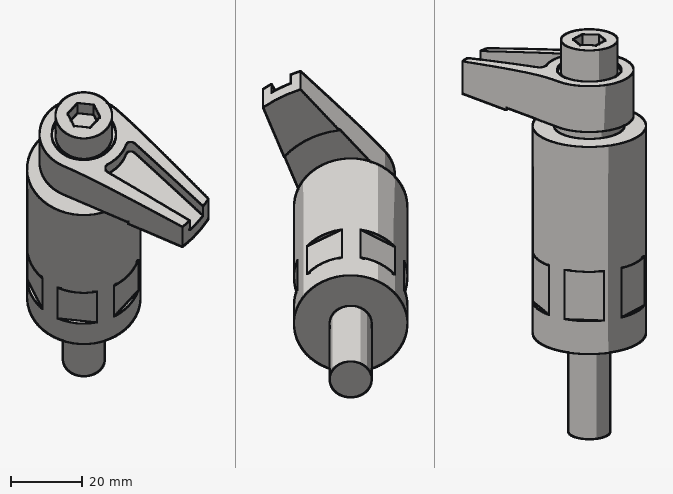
import cadquery as cq
import math

TOTAL_HEIGHT = 119.0
HOUSING_BOTTOM = 30.0
HOUSING_TOP = 92.9
HUB_BOTTOM = 96.0
HUB_TOP = 110.0

HOUSING_DIAMETER = 32.0
HOUSING_RADIUS = HOUSING_DIAMETER / 2
FLAT_COUNT = 6
FLAT_DISTANCE = 15.0
FLAT_BOTTOM = 40.0
FLAT_HEIGHT = 15.0

ROD_RADIUS = 6.0
HEAD_RADIUS = 8.0
HEAD_HEIGHT = 10.0
HEX_SIDES = 6
HEX_ACROSS_FLATS = 8.0
HEX_DEPTH = 5.0
HEAD_BOTTOM = TOTAL_HEIGHT - HEAD_HEIGHT

HUB_RADIUS = 12.5
COLLAR_RADIUS = 10.0
RECESS_RADIUS = 9.0
OVERALL_LENGTH = 55.9
ARM_LENGTH = OVERALL_LENGTH - HOUSING_RADIUS
TIP_HALF_WIDTH = 6.1
TAPER_ANGLE = math.radians(9.3)
TIP_TOP = 105.2
TIP_BOTTOM = 95.3
TIP_PAD_START = 24.0
SLOT_DEPTH = 4.6
SLOT_START_HALF_WIDTH = 6.5
SLOT_END_HALF_WIDTH = 3.1
SLOT_CORNER_RADIUS = 1.4


def cylinder(radius, bottom, top):
    return cq.Workplane("XY").workplane(offset=bottom).circle(radius).extrude(top - bottom)


def make_housing():
    """Round housing with a through bore and recessed wrench flats."""
    housing = cylinder(HOUSING_RADIUS, HOUSING_BOTTOM, HOUSING_TOP)
    flat_cutter = cq.Workplane("XY").box(
        HOUSING_RADIUS, 2 * HOUSING_RADIUS, FLAT_HEIGHT, centered=(False, True, False)
    ).translate((FLAT_DISTANCE, 0, FLAT_BOTTOM))
    for index in range(FLAT_COUNT):
        angle = index * 360 / FLAT_COUNT
        housing = housing.cut(flat_cutter.rotate((0, 0, 0), (0, 0, 1), angle))
    return housing.cut(cylinder(ROD_RADIUS, HOUSING_BOTTOM, HOUSING_TOP))


def make_screw():
    """Long rod with a hexagon socket head."""
    rod = cylinder(ROD_RADIUS, 0, HEAD_BOTTOM)
    head = cylinder(HEAD_RADIUS, HEAD_BOTTOM, TOTAL_HEIGHT)
    socket = (
        cq.Workplane("XY").workplane(offset=TOTAL_HEIGHT - HEX_DEPTH)
        .polygon(HEX_SIDES, HEX_ACROSS_FLATS, circumscribed=True).extrude(HEX_DEPTH)
    )
    return rod.union(head).cut(socket)


def make_arm():
    """Tapered arm, tangent to the hub, with a conical top and a lower pad at its tip."""
    tangent_x = HUB_RADIUS * math.sin(TAPER_ANGLE)
    tangent_y = HUB_RADIUS * math.cos(TAPER_ANGLE)
    tip_x = math.sqrt(ARM_LENGTH**2 - TIP_HALF_WIDTH**2)
    plan = (
        cq.Workplane("XY").workplane(offset=TIP_BOTTOM)
        .moveTo(0, -tangent_y)
        .lineTo(tangent_x, -tangent_y)
        .lineTo(tip_x, -TIP_HALF_WIDTH)
        .threePointArc((ARM_LENGTH, 0), (tip_x, TIP_HALF_WIDTH))
        .lineTo(tangent_x, tangent_y)
        .lineTo(0, tangent_y)
        .close()
        .extrude(HUB_TOP - TIP_BOTTOM)
    )
    envelope = (
        cq.Workplane("XZ")
        .moveTo(0, HUB_BOTTOM)
        .lineTo(TIP_PAD_START, HUB_BOTTOM)
        .lineTo(TIP_PAD_START, TIP_BOTTOM)
        .lineTo(ARM_LENGTH, TIP_BOTTOM)
        .lineTo(ARM_LENGTH, TIP_TOP)
        .lineTo(HUB_RADIUS, HUB_TOP)
        .lineTo(0, HUB_TOP)
        .close()
        .revolve(360, (0, 0, 0), (0, 1, 0))
    )
    return plan.intersect(envelope)


def make_slot():
    """Tapered slot starting at the hub wall, its conical floor parallel to the arm top."""
    start_x = math.sqrt(HUB_RADIUS**2 - SLOT_START_HALF_WIDTH**2)
    plan = (
        cq.Workplane("XY").workplane(offset=TIP_BOTTOM)
        .moveTo(start_x, -SLOT_START_HALF_WIDTH)
        .lineTo(ARM_LENGTH, -SLOT_END_HALF_WIDTH)
        .lineTo(ARM_LENGTH, SLOT_END_HALF_WIDTH)
        .lineTo(start_x, SLOT_START_HALF_WIDTH)
        .threePointArc((HUB_RADIUS, 0), (start_x, -SLOT_START_HALF_WIDTH))
        .close()
        .extrude(HUB_TOP - TIP_BOTTOM)
        .edges("|Z and <X").fillet(SLOT_CORNER_RADIUS)
    )
    space_above_floor = (
        cq.Workplane("XZ")
        .moveTo(0, HUB_TOP)
        .lineTo(0, HUB_TOP - SLOT_DEPTH)
        .lineTo(HUB_RADIUS, HUB_TOP - SLOT_DEPTH)
        .lineTo(ARM_LENGTH, TIP_TOP - SLOT_DEPTH)
        .lineTo(ARM_LENGTH, HUB_TOP)
        .close()
        .revolve(360, (0, 0, 0), (0, 1, 0))
    )
    return plan.intersect(space_above_floor)


def make_lever():
    """Hub and collar with a forked arm, bored and recessed for the screw."""
    hub = cylinder(HUB_RADIUS, HUB_BOTTOM, HUB_TOP)
    collar = cylinder(COLLAR_RADIUS, HOUSING_TOP, HUB_BOTTOM)
    bore = cylinder(ROD_RADIUS, HOUSING_TOP, HUB_TOP)
    head_recess = cylinder(RECESS_RADIUS, HEAD_BOTTOM, HUB_TOP)
    return hub.union(make_arm()).cut(make_slot()).union(collar).cut(bore).cut(head_recess)


housing = make_housing()
screw = make_screw()
lever = make_lever()

result = cq.Compound.makeCompound([
    housing.solids().val(),
    screw.solids().val(),
    lever.solids().val(),
])